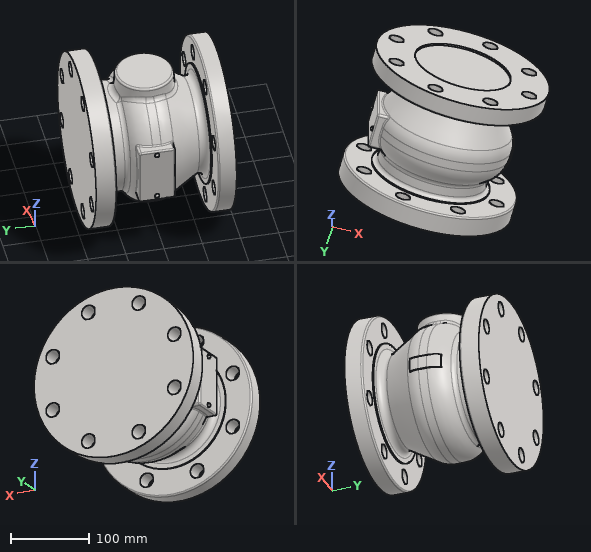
import cadquery as cq
import math


FLANGE_RADIUS = 115.0
BACK_FACE_Y = 88.2
FRONT_FACE_Y = -96.0
BACK_FLANGE_THICKNESS = 27.2
FRONT_FLANGE_THICKNESS = 24.2
FLANGE_EDGE_FILLET = 2.0
BOLT_COUNT = 8
BOLT_CIRCLE_RADIUS = 95.0
BOLT_HOLE_DIAMETER = 19.0
RECESS_RADIUS = 63.5
RECESS_DEPTH = 2.5

RING_RADIUS = 78.3
RING_HEIGHT = 1.5

BODY_RADIUS = 90.5
BAND_BACK_Y = 7.1
BAND_FRONT_Y = -4.4
BULGE_ARC_RADIUS = 33.0
BULGE_CENTER_RADIUS = BODY_RADIUS - BULGE_ARC_RADIUS
BACK_NECK_RADIUS = 72.3
BACK_NECK_FILLET = RING_RADIUS - BACK_NECK_RADIUS
BULGE_TO_NECK_FILLET = 8.0
FRONT_NECK_RADIUS = 62.8
FRONT_NECK_FILLET = 8.0

BOSS_TOP_Z = 99.0
BOSS_TOP_RADIUS = 38.0
BOSS_START_Z = 57.5
BOSS_DRAFT = 3.0
BOSS_EDGE_FILLET = 2.8
BOSS_BASE_FILLET = 8.0

PAD_FACE_X = -92.5
PAD_ROOT_X = -64.5
PAD_CENTER_Y = 3.2
PAD_WIDTH = 47.9
PAD_HEIGHT = 79.6
PAD_CORNER_RADIUS = 3.0
PAD_EDGE_FILLET = 2.0
PAD_BASE_FILLET = 2.3
SEAM_MARGIN = 0.2
SCREW_SPACING = 66.3
SCREW_HEAD_RADIUS = 3.0
SCREW_HEAD_HEIGHT = 2.5

MARK_HEIGHT = 1.5
MARK_BACK_Y = 25.3
MARK_FRONT_Y = -16.5
MARK_WIDTH = 18.5


def on_arc(center, radius, angle):
    """Point (radial, y) on an arc; the angle is measured from the radial direction toward +Y."""
    return (center[0] + radius * math.cos(angle), center[1] + radius * math.sin(angle))


def ring_y(face_y, flange_thickness, toward_body):
    """Y of the raised ring face next to a flange; `toward_body` is +1 or -1."""
    return face_y + toward_body * (flange_thickness + RING_HEIGHT)


def make_flange(face_y, thickness, toward_body):
    """Flange disc with its raised ring, built from the outer face toward the body."""
    plane = cq.Plane(origin=(0, face_y, 0), xDir=(1, 0, 0), normal=(0, toward_body, 0))
    disc = cq.Workplane(plane).circle(FLANGE_RADIUS).extrude(thickness)
    disc = disc.faces(">Y" if toward_body > 0 else "<Y").edges().fillet(FLANGE_EDGE_FILLET)
    ring = cq.Workplane(plane).circle(RING_RADIUS).extrude(thickness + RING_HEIGHT)
    holes = (
        cq.Workplane(plane)
        .polarArray(BOLT_CIRCLE_RADIUS, 180 / BOLT_COUNT, 360, BOLT_COUNT)
        .circle(BOLT_HOLE_DIAMETER / 2)
        .extrude(thickness)
    )
    return disc.union(ring).cut(holes)


def make_body():
    """Solid of revolution about Y; profile points are (radius, y)."""
    back_center = (BULGE_CENTER_RADIUS, BAND_BACK_Y)
    front_center = (BULGE_CENTER_RADIUS, BAND_FRONT_Y)

    blend_center_radius = BACK_NECK_RADIUS + BULGE_TO_NECK_FILLET
    back_centers_apart = BULGE_ARC_RADIUS + BULGE_TO_NECK_FILLET
    back_angle = math.acos((blend_center_radius - BULGE_CENTER_RADIUS) / back_centers_apart)
    blend_center = (blend_center_radius, BAND_BACK_Y + back_centers_apart * math.sin(back_angle))
    back_ring_y = ring_y(BACK_FACE_Y, BACK_FLANGE_THICKNESS, -1)
    back_fillet_center = (RING_RADIUS, back_ring_y - BACK_NECK_FILLET)

    front_ring_y = ring_y(FRONT_FACE_Y, FRONT_FLANGE_THICKNESS, 1)
    front_fillet_center = (FRONT_NECK_RADIUS + FRONT_NECK_FILLET, front_ring_y + FRONT_NECK_FILLET)
    radial_gap = front_fillet_center[0] - BULGE_CENTER_RADIUS
    axial_gap = BAND_FRONT_Y - front_fillet_center[1]
    front_centers_apart = math.hypot(radial_gap, axial_gap)
    cone_angle = (
        math.acos((BULGE_ARC_RADIUS + FRONT_NECK_FILLET) / front_centers_apart)
        - math.atan2(axial_gap, radial_gap)
    )

    profile = (
        cq.Workplane("XY")
        .moveTo(0, front_ring_y)
        .lineTo(front_fillet_center[0], front_ring_y)
        .threePointArc(
            on_arc(front_fillet_center, FRONT_NECK_FILLET, math.radians(225)),
            on_arc(front_fillet_center, FRONT_NECK_FILLET, math.pi + cone_angle),
        )
        .lineTo(*on_arc(front_center, BULGE_ARC_RADIUS, cone_angle))
        .threePointArc(
            on_arc(front_center, BULGE_ARC_RADIUS, cone_angle / 2),
            on_arc(front_center, BULGE_ARC_RADIUS, 0),
        )
        .lineTo(BODY_RADIUS, BAND_BACK_Y)
        .threePointArc(
            on_arc(back_center, BULGE_ARC_RADIUS, back_angle / 2),
            on_arc(back_center, BULGE_ARC_RADIUS, back_angle),
        )
        .threePointArc(
            on_arc(blend_center, BULGE_TO_NECK_FILLET, math.pi + back_angle / 2),
            on_arc(blend_center, BULGE_TO_NECK_FILLET, math.pi),
        )
        .lineTo(BACK_NECK_RADIUS, back_fillet_center[1])
        .threePointArc(
            on_arc(back_fillet_center, BACK_NECK_FILLET, math.radians(135)),
            on_arc(back_fillet_center, BACK_NECK_FILLET, math.radians(90)),
        )
        .lineTo(0, back_ring_y)
        .close()
    )
    return profile.revolve(360, (0, 0, 0), (0, 1, 0))


def make_boss():
    """Drafted round boss, narrowest at its flat top."""
    boss = (
        cq.Workplane("XY", origin=(0, 0, BOSS_TOP_Z))
        .circle(BOSS_TOP_RADIUS)
        .extrude(BOSS_START_Z - BOSS_TOP_Z, taper=-BOSS_DRAFT)
    )
    return boss.faces(">Z").edges().fillet(BOSS_EDGE_FILLET)


def make_pad():
    """Rectangular nameplate pad reaching from inside the body to its flat face."""
    pad = (
        cq.Workplane("YZ", origin=(PAD_ROOT_X, PAD_CENTER_Y, 0))
        .rect(PAD_WIDTH, PAD_HEIGHT)
        .extrude(PAD_FACE_X - PAD_ROOT_X)
        .edges("|X")
        .fillet(PAD_CORNER_RADIUS)
    )
    return pad.faces("<X").edges().fillet(PAD_EDGE_FILLET)


def make_screw_head(z):
    """Domed screw head on the face of the nameplate pad."""
    sphere_radius = (SCREW_HEAD_RADIUS**2 + SCREW_HEAD_HEIGHT**2) / (2 * SCREW_HEAD_HEIGHT)
    center_x = PAD_FACE_X - SCREW_HEAD_HEIGHT + sphere_radius
    return cq.Workplane("XY", origin=(center_x, PAD_CENTER_Y, z)).sphere(sphere_radius)


def make_mark():
    """Low mark standing off the bulge by an even height, trimmed to a rectangle."""
    arc_radius = BULGE_ARC_RADIUS + MARK_HEIGHT
    band_middle_y = (BAND_BACK_Y + BAND_FRONT_Y) / 2
    slot_length = BAND_BACK_Y - BAND_FRONT_Y + 2 * arc_radius
    shell = (
        cq.Workplane("XY")
        .center(BULGE_CENTER_RADIUS, band_middle_y)
        .slot2D(slot_length, 2 * arc_radius, 90)
        .revolve(360, (-BULGE_CENTER_RADIUS, 0, 0), (-BULGE_CENTER_RADIUS, 1, 0))
    )
    window = (
        cq.Workplane("YZ", origin=(BULGE_CENTER_RADIUS, (MARK_BACK_Y + MARK_FRONT_Y) / 2, 0))
        .rect(MARK_BACK_Y - MARK_FRONT_Y, MARK_WIDTH)
        .extrude(2 * arc_radius)
    )
    return shell.intersect(window)


body = make_body().union(make_boss())
body = body.edges("%BSPLINE").fillet(BOSS_BASE_FILLET)

body = body.union(make_pad())
pad_seam = cq.selectors.BoxSelector(
    (PAD_ROOT_X, PAD_CENTER_Y - PAD_WIDTH, -PAD_HEIGHT / 2 - SEAM_MARGIN),
    (-BODY_RADIUS - SEAM_MARGIN, PAD_CENTER_Y + PAD_WIDTH, PAD_HEIGHT / 2 + SEAM_MARGIN),
    boundingbox=True,
)
body = body.edges(pad_seam).fillet(PAD_BASE_FILLET)
for side in (-1, 1):
    body = body.union(make_screw_head(side * SCREW_SPACING / 2))

body = body.union(make_mark())

back_flange = make_flange(BACK_FACE_Y, BACK_FLANGE_THICKNESS, -1)
front_flange = make_flange(FRONT_FACE_Y, FRONT_FLANGE_THICKNESS, 1)
recess = (
    cq.Workplane("XZ", origin=(0, FRONT_FACE_Y, 0))
    .circle(RECESS_RADIUS)
    .extrude(-RECESS_DEPTH)
)
result = body.union(back_flange).union(front_flange).cut(recess)